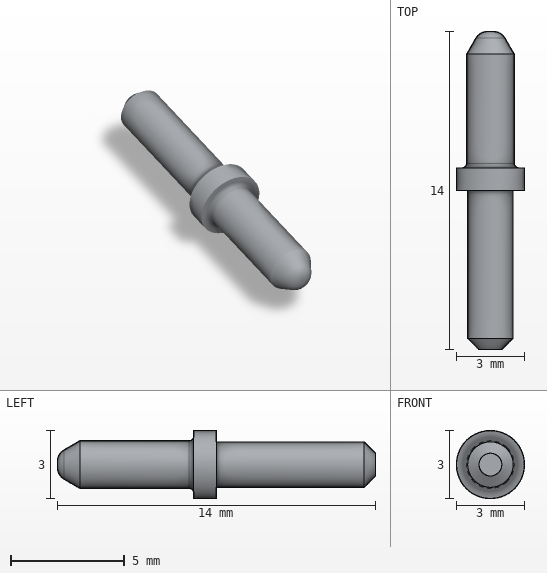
import cadquery as cq
import math

collar_radius = 1.5
collar_length = 1.0

front_radius = 1.0
front_length = 7.0
front_chamfer = 0.5

rear_radius = 1.05
rear_length = 6.0
root_fillet = 0.2
cone_length = 1.0
cone_half_angle = math.radians(30.0)
nose_radius = 0.6

rear_end = collar_length + rear_length
cone_start = rear_end - cone_length

sharp_tip_radius = rear_radius - cone_length * math.tan(cone_half_angle)
nose_turn = math.pi / 2 - cone_half_angle
nose_tangent_length = nose_radius * math.tan(nose_turn / 2)
nose_flat_radius = sharp_tip_radius - nose_tangent_length


def nose_point(angle):
    """Point (y, radius) on the nose arc, at an angle from the pin axis."""
    y = rear_end - nose_radius + nose_radius * math.cos(angle)
    radius = nose_flat_radius + nose_radius * math.sin(angle)
    return (y, radius)


def root_fillet_midpoint():
    """Point (y, radius) halfway along the concave arc behind the collar."""
    offset = root_fillet * (1 - math.sqrt(0.5))
    return (collar_length + offset, rear_radius + offset)


def half_profile():
    """Closed half section of the pin, from the front end to the rear end."""
    return (
        cq.Workplane("YZ")
        .moveTo(-front_length, 0)
        .lineTo(-front_length, front_radius - front_chamfer)
        .lineTo(-front_length + front_chamfer, front_radius)
        .lineTo(0, front_radius)
        .lineTo(0, collar_radius)
        .lineTo(collar_length, collar_radius)
        .lineTo(collar_length, rear_radius + root_fillet)
        .threePointArc(root_fillet_midpoint(), (collar_length + root_fillet, rear_radius))
        .lineTo(cone_start, rear_radius)
        .lineTo(*nose_point(nose_turn))
        .threePointArc(nose_point(nose_turn / 2), nose_point(0))
        .lineTo(rear_end, 0)
        .close()
    )


result = half_profile().revolve(360, (0, 0, 0), (1, 0, 0))